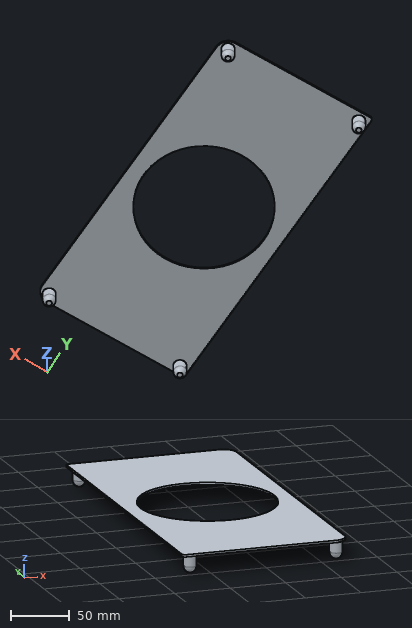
import cadquery as cq

plate_width = 150.0
plate_length = 300.0
plate_thickness = 2.0
left_corner_radius = 3.0
right_corner_radius = 12.0
opening_diameter = 120.0

total_height = 18.0
foot_diameter = 11.5
foot_tip_diameter = 4.8
foot_tip_height = 6.0
foot_tip_curve_radius = 6.5
foot_inset_x = 9.3
foot_inset_y = 8.0


def make_plate():
    plate = cq.Workplane("XY").box(
        plate_width, plate_length, plate_thickness, centered=(True, True, False)
    )
    plate = plate.translate((0, 0, -plate_thickness))
    plate = plate.edges("|Z and <X").fillet(left_corner_radius)
    plate = plate.edges("|Z and >X").fillet(right_corner_radius)
    return plate.faces(">Z").workplane().hole(opening_diameter)


def make_foot(x, y):
    """Foot revolved about its axis: a straight shank ending in a domed, blunt tip."""
    radius = foot_diameter / 2
    tip_radius = foot_tip_diameter / 2
    shank_end_z = foot_tip_height - total_height
    foot = (
        cq.Workplane("XZ")
        .moveTo(0, -plate_thickness)
        .lineTo(radius, -plate_thickness)
        .lineTo(radius, shank_end_z)
        .radiusArc((tip_radius, -total_height), foot_tip_curve_radius)
        .lineTo(0, -total_height)
        .close()
        .revolve(360, (0, 0, 0), (0, 1, 0))
    )
    return foot.translate((x, y, 0))


result = make_plate()
foot_x = plate_width / 2 - foot_inset_x
foot_y = plate_length / 2 - foot_inset_y
for x in (-foot_x, foot_x):
    for y in (-foot_y, foot_y):
        result = result.union(make_foot(x, y))